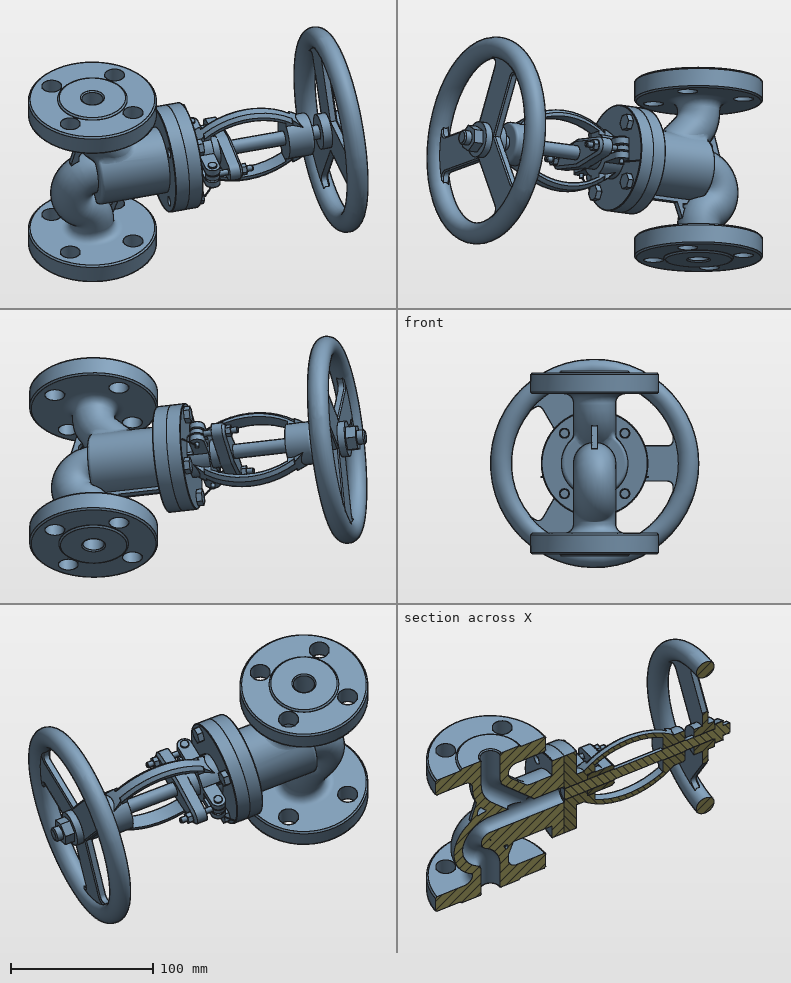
import cadquery as cq
import math


PORT_FACE = 65.0
RAISED_DIA = 49.0
RAISED_HEIGHT = 1.5
RAISED_CHAMFER = 1.2
PORT_FLANGE_DIA = 90.0
PORT_FLANGE_BACK = 49.0
PORT_EDGE_CHAMFER = 1.2
PORT_BOLT_CIRCLE = 65.0
PORT_BOLT_HOLE = 14.0
PORT_BOLTS = 4
BORE_DIA = 15.0
BORE_CHAMFER = 1.0
PIPE_DIA = 29.8
NECK_FILLET = 6.5
LOWER_BEND_RADIUS = 15.0
UPPER_BEND_RADIUS = 21.5
UPPER_BEND_START = 41.3

BARREL_DIA = 46.8
BARREL_EDGE = 2.5
BRANCH_FILLET = 5.0
WEB_WIDTH = 4.0

JOINT_Y = 60.0
JOINT_FLANGE_DIA = 75.0
JOINT_FLANGE_THICKNESS = 10.0
JOINT_CHAMFER = 0.5
SCREW_CIRCLE = 60.0
SCREW_DIA = 6.0
SCREW_HOLE = 7.0
SCREW_HEAD_FLATS = 10.0
SCREW_HEAD_HEIGHT = 4.0
SCREW_REACH = 7.2
BARREL_BACK = JOINT_Y - JOINT_FLANGE_THICKNESS
BONNET_SEAT = JOINT_Y + JOINT_FLANGE_THICKNESS

HUB_DIA = 30.0
BOSS_TOP = 85.2
HUB_BOTTOM = 140.2
HUB_TOP = 158.6
HUB_EDGE = 2.0
STUFFING_FLOOR = 79.2
ARM_MIDDLE = (BOSS_TOP + HUB_BOTTOM) / 2
ARM_WIDTH = 11.0
ARM_CHAMFER = 2.5
ARM_OUTER_PEAK = 28.5
ARM_INNER_PEAK = 23.8
ARM_OUTER_END = 12.0
ARM_INNER_END = 16.5
ARM_OUTER_HALF_SPAN = 39.8
ARM_ROOT = 10.8
ROOT_WIDTH = 16.8
ROOT_START = 32.5

HINGE_X = 27.0
LUG_RADIUS = 5.3
HINGE_Y = BOSS_TOP - LUG_RADIUS
LUG_INNER = 3.0
LUG_OUTER = 7.5
LUG_FOOT_X = 14.0
EYE_DIA = 10.0
EYE_THICKNESS = 3.4
SHANK_DIA = 4.0
SHANK_TOP = 109.5
SHANK_CHAMFER = 0.7
GLAND_NUT_FLATS = 7.0
GLAND_NUT_HEIGHT = 3.5
PIN_DIA = 3.0
PIN_HEAD_DIA = 6.0
PIN_HEAD_HEIGHT = 1.2
PIN_END = -10.5
COTTER_DIA = 0.7
COTTER_Z = -9.4
COTTER_TIP = (37.5, 71.5)

GLAND_DIA = 20.0
GLAND_BOTTOM = 91.2
GLAND_TOP = 100.8
GLAND_END_RADIUS = 6.2
GLAND_EDGE = 2.0

STEM_DIA = 10.0
OVERALL_LENGTH = 240.0
STEM_TOP = OVERALL_LENGTH - PORT_FLANGE_DIA / 2
STEM_CHAMFER = 1.0
WHEEL_DIA = 146.5
RIM_DIA = 15.0
RIM_Y = 174.7
WHEEL_HUB_DIA = 25.0
WHEEL_HUB_BOTTOM = 165.5
WHEEL_HUB_TOP = 182.5
SPOKES = 3
SPOKE_WIDTH = 25.0
SPOKE_THICKNESS = 5.0
SPOKE_FOOT_START = 55.0
SPOKE_FOOT_END = 60.0
SPOKE_FOOT_WIDTH = 45.5
SPOKE_FILLET = 3.5
SPOKE_EDGE = 1.0
WHEEL_NUT_FLATS = 16.0
WHEEL_NUT_TOP = 189.5


def plane_at_y(y):
    """Work plane facing +Y: local x is -X, local y is Z."""
    return cq.Workplane(cq.Plane(origin=(0, y, 0), xDir=(-1, 0, 0), normal=(0, 1, 0)))


def round_bar(dia, bottom, top, x=0.0, z=0.0):
    """Cylinder along Y."""
    return plane_at_y(bottom).center(-x, z).circle(dia / 2).extrude(top - bottom)


def hex_bar(flats, bottom, top, x=0.0, z=0.0, turn=0.0):
    """Hexagonal prism along Y, with corners on local x before it is turned."""
    corners = flats / math.cos(math.pi / 6)
    prism = plane_at_y(bottom).polygon(6, corners).extrude(top - bottom)
    return prism.rotate((0, 0, 0), (0, 1, 0), turn).translate((x, 0, z))


def vertical_bar(dia, bottom, top, x=0.0, y=0.0):
    """Cylinder along Z."""
    return cq.Workplane("XY", origin=(x, y, bottom)).circle(dia / 2).extrude(top - bottom)


def screw_places():
    """X and Z of the four bonnet screws."""
    offset = SCREW_CIRCLE / 2 * math.sin(math.pi / 4)
    return [(sx * offset, sz * offset) for sx in (-1, 1) for sz in (-1, 1)]


def on_arc(center, radius, degrees):
    angle = math.radians(degrees)
    return (center[0] + radius * math.cos(angle), center[1] + radius * math.sin(angle))


def upper_path():
    """Centre line of the upper pipe: down, then 45 degrees back to the barrel axis."""
    center = (UPPER_BEND_RADIUS, UPPER_BEND_START)
    bend_end = on_arc(center, UPPER_BEND_RADIUS, 225)
    return (
        cq.Workplane("YZ")
        .moveTo(0, PORT_FACE)
        .lineTo(0, UPPER_BEND_START)
        .threePointArc(on_arc(center, UPPER_BEND_RADIUS, 202.5), bend_end)
        .lineTo(sum(bend_end), 0)
    )


def lower_path(end_y):
    """Centre line of the lower pipe: 60 degrees forward, 150 back, then along the barrel axis."""
    radius = LOWER_BEND_RADIUS
    first_center = (-radius, -radius * (1 + math.sqrt(3)))
    second_center = (0, -radius)
    return (
        cq.Workplane("YZ")
        .moveTo(0, -PORT_FACE)
        .lineTo(0, first_center[1])
        .threePointArc(on_arc(first_center, radius, 30), on_arc(first_center, radius, 60))
        .threePointArc(on_arc(second_center, radius, 165), (0, 0))
        .lineTo(end_y, 0)
    )


def pipe(path, dia, end_z):
    return cq.Workplane("XY", origin=(0, 0, end_z)).circle(dia / 2).sweep(path)


def port_flange():
    """Flange with raised face and a filleted neck, facing +Z."""
    flange_face = PORT_FACE - RAISED_HEIGHT
    disc = vertical_bar(PORT_FLANGE_DIA, PORT_FLANGE_BACK, flange_face).edges().chamfer(PORT_EDGE_CHAMFER)
    raised = vertical_bar(RAISED_DIA, flange_face, PORT_FACE).faces(">Z").chamfer(RAISED_CHAMFER)
    pipe_radius = PIPE_DIA / 2
    neck_start = PORT_FLANGE_BACK - NECK_FILLET
    bow = NECK_FILLET * (1 - math.sin(math.pi / 4))
    neck = (
        cq.Workplane("XZ")
        .moveTo(0, neck_start)
        .lineTo(pipe_radius, neck_start)
        .threePointArc(
            (pipe_radius + bow, PORT_FLANGE_BACK - bow),
            (pipe_radius + NECK_FILLET, PORT_FLANGE_BACK),
        )
        .lineTo(pipe_radius + NECK_FILLET, flange_face - PORT_EDGE_CHAMFER)
        .lineTo(0, flange_face - PORT_EDGE_CHAMFER)
        .close()
        .revolve(360, (0, 0, 0), (0, 1, 0))
    )
    bolt_holes = (
        cq.Workplane("XY", origin=(0, 0, PORT_FLANGE_BACK))
        .polarArray(PORT_BOLT_CIRCLE / 2, 180 / PORT_BOLTS, 360, PORT_BOLTS)
        .circle(PORT_BOLT_HOLE / 2)
        .extrude(PORT_FACE - PORT_FLANGE_BACK)
    )
    return disc.union(raised).union(neck).cut(bolt_holes)


def port_bore_mouth():
    """Chamfered mouth of the bore at the +Z port."""
    mouth = cq.Workplane("XY", origin=(0, 0, PORT_FACE)).circle(BORE_DIA / 2 + BORE_CHAMFER)
    return mouth.workplane(offset=-BORE_CHAMFER).circle(BORE_DIA / 2).loft()


def web(outline, window_middle, window_size, window_corner):
    """Web plate on the YZ plane, pierced by a round-cornered window."""
    plate = cq.Workplane("YZ").polyline(outline).close().extrude(WEB_WIDTH / 2, both=True)
    window = cq.Workplane("YZ").center(*window_middle).rect(*window_size).extrude(WEB_WIDTH, both=True)
    return plate.cut(window.edges("|X").fillet(window_corner))


def front_web():
    """Web between the upper pipe and the bend of the lower pipe."""
    outline = [(-2.5, 7.2), (-2.5, 27.8), (-11.3, 27.8), (-16.3, 10.5), (-13.2, 7.2)]
    return web(outline, window_middle=(-3.8, 13.5), window_size=(13.0, 13.0), window_corner=3.5)


def under_web():
    """Web below the barrel, running down onto the lower pipe."""
    outline = [
        (BARREL_BACK, -19.2), (BARREL_BACK, -26.0), (18.7, -26.0),
        (14.5, -37.5), (7.2, -37.5), (7.2, -19.2),
    ]
    return web(outline, window_middle=(12.0, -28.0), window_size=(3.8, 3.4), window_corner=1.0)


def make_housing():
    barrel = round_bar(BARREL_DIA, 0, BARREL_BACK).faces("<Y").edges().fillet(BARREL_EDGE)
    flange = round_bar(JOINT_FLANGE_DIA, BARREL_BACK, JOINT_Y).faces("<Y").chamfer(JOINT_CHAMFER)
    port = port_flange()
    mouth = port_bore_mouth()
    housing = barrel.union(pipe(upper_path(), PIPE_DIA, PORT_FACE))
    branch_seam = cq.selectors.BoxSelector(
        (-BARREL_DIA, -2.5, 2.5), (BARREL_DIA, BARREL_BACK - 2.5, UPPER_BEND_START - UPPER_BEND_RADIUS)
    )
    housing = housing.edges("%BSPLINE").edges(branch_seam).fillet(BRANCH_FILLET)
    housing = housing.union(pipe(lower_path(PIPE_DIA / 2), PIPE_DIA, -PORT_FACE))
    housing = housing.union(flange).union(front_web()).union(under_web())
    housing = housing.union(port).union(port.mirror("XY"))
    housing = housing.cut(pipe(upper_path(), BORE_DIA, PORT_FACE))
    housing = housing.cut(pipe(lower_path(JOINT_Y), BORE_DIA, -PORT_FACE))
    housing = housing.cut(mouth).cut(mouth.mirror("XY"))
    for x, z in screw_places():
        housing = housing.cut(round_bar(SCREW_HOLE, BARREL_BACK, JOINT_Y, x, z))
    return housing


def arm_profile():
    """Bowed side profile of the upper yoke arm."""
    inner_half = (HUB_BOTTOM - BOSS_TOP) / 2
    low, high = ARM_MIDDLE - ARM_OUTER_HALF_SPAN, ARM_MIDDLE + ARM_OUTER_HALF_SPAN
    return (
        cq.Workplane("YZ")
        .moveTo(low, ARM_ROOT)
        .lineTo(low, ARM_OUTER_END)
        .threePointArc((ARM_MIDDLE, ARM_OUTER_PEAK), (high, ARM_OUTER_END))
        .lineTo(high, ARM_ROOT)
        .lineTo(HUB_BOTTOM, ARM_ROOT)
        .lineTo(ARM_MIDDLE + inner_half, ARM_INNER_END)
        .threePointArc((ARM_MIDDLE, ARM_INNER_PEAK), (ARM_MIDDLE - inner_half, ARM_INNER_END))
        .lineTo(BOSS_TOP, ARM_ROOT)
        .close()
    )


def yoke_arm():
    """Upper yoke arm with chamfered outer edges, widening to a root at each end."""
    arm = arm_profile().extrude(ARM_WIDTH / 2, both=True)
    arm = arm.faces("%CYLINDER").faces(">Z").edges("%CIRCLE").chamfer(ARM_CHAMFER)
    for side in (-1, 1):
        start = ARM_MIDDLE + side * ROOT_START
        end = ARM_MIDDLE + side * ARM_OUTER_HALF_SPAN
        flare = (
            cq.Workplane("XY")
            .polyline([
                (-ARM_WIDTH / 2, start), (ARM_WIDTH / 2, start),
                (ROOT_WIDTH / 2, end), (-ROOT_WIDTH / 2, end),
            ])
            .close()
            .extrude(ARM_OUTER_PEAK)
        )
        arm = arm.union(arm_profile().extrude(ROOT_WIDTH / 2, both=True).intersect(flare))
    return arm


def hinge_lug(side):
    """Forked lug on one side of the boss, with a hole for the hinge pin."""
    height = 2 * LUG_RADIUS
    thickness = LUG_OUTER - LUG_INNER
    lug = cq.Workplane("XY")
    for bottom in (-LUG_OUTER, LUG_INNER):
        base = cq.Workplane("XY", origin=(side * HINGE_X, HINGE_Y, bottom))
        foot_base = cq.Workplane("XY", origin=(side * LUG_FOOT_X / 2, BONNET_SEAT + LUG_RADIUS, bottom))
        tip = base.circle(LUG_RADIUS).extrude(thickness)
        cheek = base.center(-side * HINGE_X / 2, 0).rect(HINGE_X, height).extrude(thickness)
        foot = foot_base.rect(LUG_FOOT_X, height).extrude(thickness)
        lug = lug.add(tip.union(cheek).union(foot))
    lug = lug.combine()
    return lug.cut(vertical_bar(PIN_DIA, -LUG_OUTER, LUG_OUTER, side * HINGE_X, HINGE_Y))


def bonnet_screw(x, z):
    """Hexagon head screw that holds the bonnet on the housing."""
    head = hex_bar(SCREW_HEAD_FLATS, BONNET_SEAT, BONNET_SEAT + SCREW_HEAD_HEIGHT, x, z)
    return head.union(round_bar(SCREW_DIA, JOINT_Y - SCREW_REACH, BONNET_SEAT, x, z))


def make_bonnet():
    flange = round_bar(JOINT_FLANGE_DIA, JOINT_Y, BONNET_SEAT).faces(">Y").chamfer(JOINT_CHAMFER)
    boss = round_bar(HUB_DIA, BONNET_SEAT, BOSS_TOP)
    hub = round_bar(HUB_DIA, HUB_BOTTOM, HUB_TOP).faces(">Y").edges().fillet(HUB_EDGE)
    arm = yoke_arm()
    bonnet = flange.union(boss).union(hub).union(arm).union(arm.mirror("XY"))
    for side in (-1, 1):
        bonnet = bonnet.union(hinge_lug(side))
    for x, z in screw_places():
        bonnet = bonnet.union(bonnet_screw(x, z))
    stuffing_box = round_bar(GLAND_DIA, STUFFING_FLOOR, BOSS_TOP)
    return bonnet.cut(stuffing_box).cut(round_bar(STEM_DIA, JOINT_Y, HUB_TOP))


def make_gland():
    """Gland follower under a plate that narrows from a round middle to two round ends."""
    middle = GLAND_DIA / 2
    lean = (middle - GLAND_END_RADIUS) / HINGE_X
    rise = math.sqrt(1 - lean**2)
    middle_x, middle_z = middle * lean, middle * rise
    end_x, end_z = HINGE_X + GLAND_END_RADIUS * lean, GLAND_END_RADIUS * rise
    tip = HINGE_X + GLAND_END_RADIUS
    plate = (
        plane_at_y(GLAND_BOTTOM)
        .moveTo(middle_x, middle_z)
        .lineTo(end_x, end_z)
        .threePointArc((tip, 0), (end_x, -end_z))
        .lineTo(middle_x, -middle_z)
        .threePointArc((0, -middle), (-middle_x, -middle_z))
        .lineTo(-end_x, -end_z)
        .threePointArc((-tip, 0), (-end_x, end_z))
        .lineTo(-middle_x, middle_z)
        .threePointArc((0, middle), (middle_x, middle_z))
        .close()
        .extrude(GLAND_TOP - GLAND_BOTTOM)
        .faces(">Y")
        .chamfer(GLAND_EDGE)
    )
    gland = plate.union(round_bar(GLAND_DIA, STUFFING_FLOOR, GLAND_BOTTOM))
    for side in (-1, 1):
        gland = gland.cut(round_bar(SHANK_DIA, GLAND_BOTTOM, GLAND_TOP, side * HINGE_X))
    return gland.cut(round_bar(STEM_DIA, STUFFING_FLOOR, GLAND_TOP))


def make_eyebolt(side):
    """Swing bolt with its eye between the lug cheeks and its nut on the gland plate."""
    x = side * HINGE_X
    eye = vertical_bar(EYE_DIA, -EYE_THICKNESS / 2, EYE_THICKNESS / 2, x, HINGE_Y)
    shank = round_bar(SHANK_DIA, HINGE_Y + PIN_DIA, SHANK_TOP, x).faces(">Y").chamfer(SHANK_CHAMFER)
    nut = hex_bar(GLAND_NUT_FLATS, GLAND_TOP, GLAND_TOP + GLAND_NUT_HEIGHT, x)
    pin_hole = vertical_bar(PIN_DIA, -LUG_OUTER, LUG_OUTER, x, HINGE_Y)
    return eye.union(shank).union(nut).cut(pin_hole)


def make_hinge_pin(side):
    """Headed pin through lug and eye, secured by a slanting cotter wire."""
    x = side * HINGE_X
    shank = vertical_bar(PIN_DIA, PIN_END, LUG_OUTER, x, HINGE_Y)
    head = vertical_bar(PIN_HEAD_DIA, LUG_OUTER, LUG_OUTER + PIN_HEAD_HEIGHT, x, HINGE_Y)
    reach_x = side * COTTER_TIP[0] - x
    reach_y = COTTER_TIP[1] - HINGE_Y
    reach = math.hypot(reach_x, reach_y)
    wire_axis = cq.Plane(origin=(x, HINGE_Y, COTTER_Z), xDir=(0, 0, 1), normal=(reach_x, reach_y, 0))
    wire = cq.Workplane(wire_axis).circle(COTTER_DIA / 2).extrude(reach)
    return shank.union(head).union(wire)


def make_stem():
    """Spindle with the nut that holds the hand wheel."""
    rod = round_bar(STEM_DIA, JOINT_Y, STEM_TOP).faces(">Y").chamfer(STEM_CHAMFER)
    return rod.union(hex_bar(WHEEL_NUT_FLATS, WHEEL_HUB_TOP, WHEEL_NUT_TOP, turn=90))


def make_hand_wheel():
    """Round rim on a hub with flat spokes whose outer ends widen into feet."""
    rim_radius = (WHEEL_DIA - RIM_DIA) / 2
    rim = (
        cq.Workplane("XY")
        .center(rim_radius, RIM_Y)
        .circle(RIM_DIA / 2)
        .revolve(360, (-rim_radius, 0, 0), (-rim_radius, 1, 0))
    )
    half_spoke = SPOKE_WIDTH / 2
    half_foot = SPOKE_FOOT_WIDTH / 2
    spoke = (
        plane_at_y(RIM_Y - SPOKE_THICKNESS / 2)
        .polyline([
            (0, half_spoke), (-SPOKE_FOOT_START, half_spoke), (-SPOKE_FOOT_START, half_foot),
            (-SPOKE_FOOT_END, half_foot), (-SPOKE_FOOT_END, -half_foot), (-SPOKE_FOOT_START, -half_foot),
            (-SPOKE_FOOT_START, -half_spoke), (0, -half_spoke),
        ])
        .close()
        .extrude(SPOKE_THICKNESS)
    )
    notch = cq.selectors.BoxSelector(
        (SPOKE_FOOT_START - 2.5, RIM_Y - RIM_DIA, -half_spoke - 2.5),
        (SPOKE_FOOT_START + 2.5, RIM_Y + RIM_DIA, half_spoke + 2.5),
    )
    spoke = spoke.edges("|Y").edges(notch).fillet(SPOKE_FILLET)
    spoke = spoke.faces(">Y").chamfer(SPOKE_EDGE)
    spider = spoke
    for index in range(1, SPOKES):
        spider = spider.union(spoke.rotate((0, 0, 0), (0, 1, 0), index * 360 / SPOKES))
    hub = round_bar(WHEEL_HUB_DIA, WHEEL_HUB_BOTTOM, WHEEL_HUB_TOP)
    wheel = hub.union(spider).union(rim)
    return wheel.cut(round_bar(STEM_DIA, WHEEL_HUB_BOTTOM, WHEEL_HUB_TOP))


housing = make_housing()
bonnet = make_bonnet()
gland = make_gland()
stem = make_stem()
hand_wheel = make_hand_wheel()
eyebolts = [make_eyebolt(side) for side in (-1, 1)]
hinge_pins = [make_hinge_pin(side) for side in (-1, 1)]

result = cq.Compound.makeCompound([
    housing.val(),
    bonnet.val(),
    gland.val(),
    stem.val(),
    hand_wheel.val(),
    *[eyebolt.val() for eyebolt in eyebolts],
    *[hinge_pin.val() for hinge_pin in hinge_pins],
])